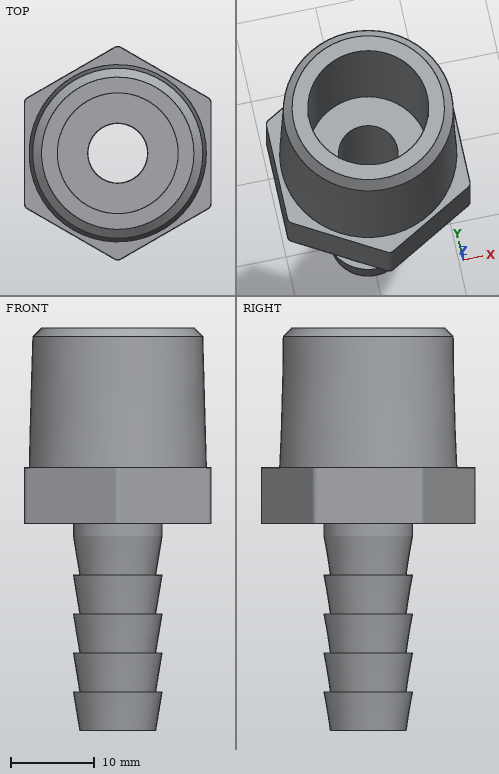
import cadquery as cq
import math

total_length = 48.0
hex_bottom = 24.7
hex_height = 6.65
hex_top = hex_bottom + hex_height

barb_count = 5
neck_length = 1.5
barb_pitch = (hex_bottom - neck_length) / barb_count
barb_tip_radius = 4.5
barb_crest_radius = 5.3

hex_across_flats = 22.25
hex_corner_radius = 0.7

taper_base_radius = 10.55
taper_top_radius = 10.15
end_chamfer_height = 1.05
end_face_radius = 9.05

hose_bore_radius = 3.55
pipe_bore_radius = 7.2
pipe_bore_bottom = hex_top


def make_hose_tail():
    """Stacked cones widening upward, then a plain neck below the hexagon."""
    profile = cq.Workplane("XZ").moveTo(0, 0)
    for index in range(barb_count):
        barb_bottom = index * barb_pitch
        profile = profile.lineTo(barb_tip_radius, barb_bottom)
        profile = profile.lineTo(barb_crest_radius, barb_bottom + barb_pitch)
    profile = profile.lineTo(barb_crest_radius, hex_bottom).lineTo(0, hex_bottom).close()
    return profile.revolve(360, (0, 0, 0), (0, 1, 0))


def make_hexagon():
    """Wrench hexagon with rounded vertical edges."""
    across_corners = hex_across_flats / math.cos(math.radians(30))
    return (
        cq.Workplane("XY")
        .polygon(6, across_corners)
        .extrude(hex_height)
        .edges("|Z")
        .fillet(hex_corner_radius)
        .rotate((0, 0, 0), (0, 0, 1), 30)
        .translate((0, 0, hex_bottom))
    )


def make_pipe_end():
    """Tapered body with a chamfered end."""
    profile = (
        cq.Workplane("XZ")
        .moveTo(0, hex_top)
        .lineTo(taper_base_radius, hex_top)
        .lineTo(taper_top_radius, total_length - end_chamfer_height)
        .lineTo(end_face_radius, total_length)
        .lineTo(0, total_length)
        .close()
    )
    return profile.revolve(360, (0, 0, 0), (0, 1, 0))


def make_bore():
    """Narrow through bore opening into a wide bore at the pipe end."""
    narrow = cq.Workplane("XY").circle(hose_bore_radius).extrude(total_length)
    wide = (
        cq.Workplane("XY", origin=(0, 0, pipe_bore_bottom))
        .circle(pipe_bore_radius)
        .extrude(total_length - pipe_bore_bottom)
    )
    return narrow.union(wide)


body = make_hose_tail().union(make_hexagon()).union(make_pipe_end())
result = body.cut(make_bore())